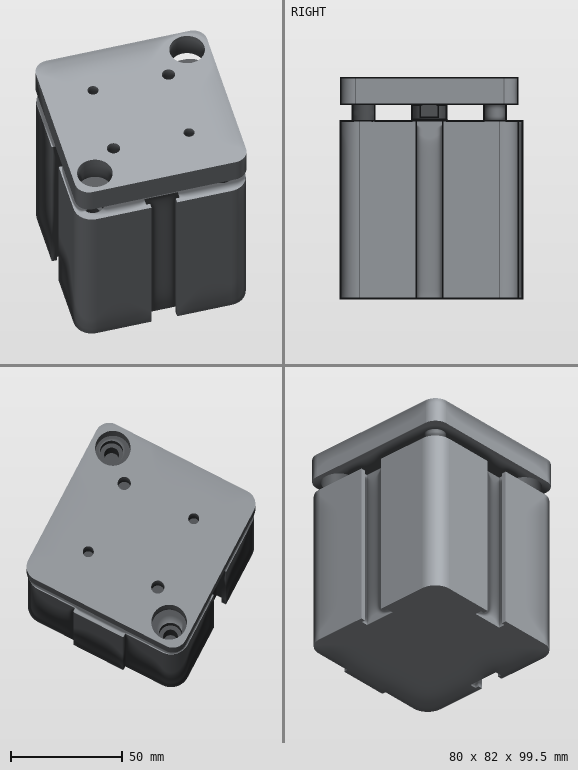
import cadquery as cq

TOTAL_HEIGHT = 99.5
HOUSING_SIDE = 80.0
HOUSING_HEIGHT = 80.0
HOUSING_CORNER_RADIUS = 8.5

SLOT_OPENING = 11.9
SLOT_POCKET_WIDTH = 15.6
SLOT_LIP = 2.4
SLOT_DEPTH = 5.7

RAIL_WIDTH = 25.5
RAIL_HEIGHT = 2.0
RAIL_EDGE_RADIUS = 0.5

MOUNT_OFFSET = 30.9
MOUNT_HOLE_DIAMETER = 6.7
COUNTERBORE_DIAMETER = 10.5
COUNTERBORE_DEPTH = 6.5
MOUNT_HOLE_DEPTH = 19.9

BOSS_DIAMETER = 16.0
BOSS_HEIGHT = 0.4

PLATE_SIDE = 79.8
PLATE_THICKNESS = 12.0
PLATE_CORNER_RADIUS = 6.5
PLATE_BOTTOM = TOTAL_HEIGHT - PLATE_THICKNESS
ACCESS_HOLE_DIAMETER = 16.0
ACCESS_HOLE_OFFSET = 29.6
TAPPED_HOLE_DIAMETER = 6.0
DOWEL_HOLE_DIAMETER = 5.0
SMALL_HOLE_OFFSET = 17.6

GUIDE_ROD_DIAMETER = 10.0
GUIDE_ROD_OFFSET = ACCESS_HOLE_OFFSET
PISTON_DIAMETER = 15.6
PISTON_ACROSS_FLATS = 13.3
FLAT_START = 1.3
PISTON_END_CHAMFER = 0.4
GUIDE_ROD_LENGTH = PLATE_BOTTOM - HOUSING_HEIGHT


def diagonal_pair(offset, rising):
    """Two opposite corner points, on the rising (x = y) or falling (x = -y) diagonal."""
    y = offset if rising else -offset
    return [(offset, y), (-offset, -y)]


def rounded_block(side, height, corner_radius, bottom):
    block = cq.Workplane("XY", origin=(0, 0, bottom)).rect(side, side).extrude(height)
    return block.edges("|Z").fillet(corner_radius)


def slot_cutter(angle):
    """T-shaped bar on the +X side of the housing, turned about Z by the angle."""
    half_side = HOUSING_SIDE / 2
    opening = cq.Workplane("XY").box(
        SLOT_DEPTH, SLOT_OPENING, HOUSING_HEIGHT, centered=(False, True, False)
    )
    pocket = cq.Workplane("XY").box(
        SLOT_DEPTH - SLOT_LIP, SLOT_POCKET_WIDTH, HOUSING_HEIGHT, centered=(False, True, False)
    )
    cutter = opening.union(pocket).translate((half_side - SLOT_DEPTH, 0, 0))
    return cutter.rotate((0, 0, 0), (0, 0, 1), angle)


def rear_rail():
    rail = cq.Workplane("XY").box(RAIL_WIDTH, RAIL_HEIGHT, HOUSING_HEIGHT, centered=(True, False, False))
    rail = rail.edges("|Z and >Y").fillet(RAIL_EDGE_RADIUS)
    return rail.translate((0, HOUSING_SIDE / 2, 0))


def rod_boss():
    return cq.Workplane("XY", origin=(0, 0, HOUSING_HEIGHT)).circle(BOSS_DIAMETER / 2).extrude(BOSS_HEIGHT)


def mounting_holes(housing):
    """Cut the two counterbored blind holes into the top face."""
    return (
        housing.faces(">Z")
        .workplane(origin=(0, 0, HOUSING_HEIGHT))
        .pushPoints(diagonal_pair(MOUNT_OFFSET, rising=False))
        .cboreHole(MOUNT_HOLE_DIAMETER, COUNTERBORE_DIAMETER, COUNTERBORE_DEPTH, MOUNT_HOLE_DEPTH)
    )


def make_housing():
    housing = rounded_block(HOUSING_SIDE, HOUSING_HEIGHT, HOUSING_CORNER_RADIUS, 0)
    housing = housing.union(rear_rail())
    for angle in (0, 180, 270):
        housing = housing.cut(slot_cutter(angle))
    return mounting_holes(housing).union(rod_boss())


def guide_rods():
    return (
        cq.Workplane("XY", origin=(0, 0, HOUSING_HEIGHT))
        .pushPoints(diagonal_pair(GUIDE_ROD_OFFSET, rising=True))
        .circle(GUIDE_ROD_DIAMETER / 2)
        .extrude(GUIDE_ROD_LENGTH)
    )


def piston_rod():
    """Round rod with chamfered ends and two wrench flats facing -X and +X, standing on the boss."""
    foot = HOUSING_HEIGHT + BOSS_HEIGHT
    length = PLATE_BOTTOM - foot
    base = cq.Workplane("XY", origin=(0, 0, foot))
    rod = base.circle(PISTON_DIAMETER / 2).extrude(length)
    rod = rod.faces("<Z or >Z").chamfer(PISTON_END_CHAMFER)
    round_foot = base.circle(PISTON_DIAMETER / 2).extrude(FLAT_START)
    flatted_length = base.rect(PISTON_ACROSS_FLATS, PISTON_DIAMETER).extrude(length)
    return rod.intersect(flatted_length.union(round_foot))


def make_carriage():
    plate = rounded_block(PLATE_SIDE, PLATE_THICKNESS, PLATE_CORNER_RADIUS, PLATE_BOTTOM)
    holes = (
        (ACCESS_HOLE_DIAMETER, ACCESS_HOLE_OFFSET, False),
        (TAPPED_HOLE_DIAMETER, SMALL_HOLE_OFFSET, False),
        (DOWEL_HOLE_DIAMETER, SMALL_HOLE_OFFSET, True),
    )
    for diameter, offset, rising in holes:
        plate = (
            plate.faces(">Z")
            .workplane(origin=(0, 0, TOTAL_HEIGHT))
            .pushPoints(diagonal_pair(offset, rising))
            .hole(diameter)
        )
    return plate.union(guide_rods()).union(piston_rod())


housing = make_housing()
carriage = make_carriage()
result = cq.Compound.makeCompound([housing.val(), carriage.val()])